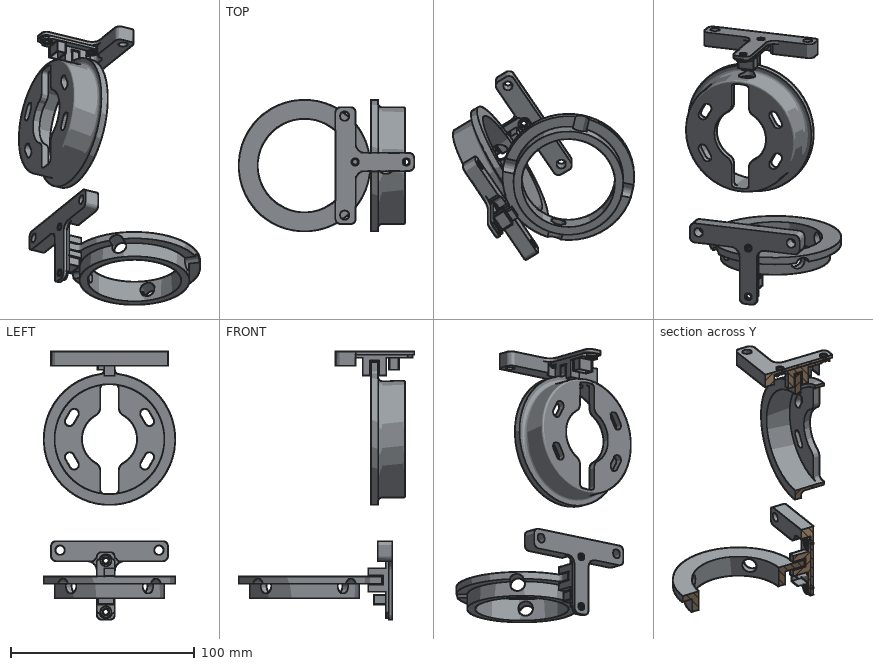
import cadquery as cq

BAR_LENGTH = 64.0
BAR_WIDTH = 11.1
BAR_HEIGHT = 8.0
BAR_HOLE_DIAMETER = 5.0
BAR_HOLE_INSET = 5.0
ARM_END_X = 43.1
ARM_WIDTH = 10.0
ARM_THICKNESS = 2.0
ARM_CENTRE_Y = 2.0
BRACKET_CORNER_RADIUS = 3.0
ARM_ROOT_RADIUS = 5.0
POCKET_MOUTH_CHAMFER = 2.0
POCKET_END_MARGIN = 4.75

SCREW_END_INSET = 4.35
SCREW_SPACING = 28.0
SCREW_XS = (ARM_END_X - SCREW_END_INSET - SCREW_SPACING, ARM_END_X - SCREW_END_INSET)
PILOT_DIAMETER = 3.0
PILOT_TOP_DIAMETER = 4.0
PILOT_TOP_DEPTH = 0.5
CLEARANCE_DIAMETER = 3.8
SCREW_HEAD_DIAMETER = 6.0
SCREW_HEAD_DEPTH = 0.5

CLIP_THICKNESS = 1.6
CLIP_LUG_RADIUS = 3.5
CLIP_SHOULDER = 0.75
CLIP_CORNER_RADIUS = 1.5
CLIP_TOP = -ARM_THICKNESS
CLIP_BOTTOM = CLIP_TOP - CLIP_THICKNESS
FORK_CENTRE_X = 21.35
FORK_LENGTH = 13.0
FORK_WIDTH = 6.0
FORK_BOTTOM = -13.25
SLOT_WIDTH = 5.0
SLOT_TOP = -5.05
STOP_CENTRE_X = 32.05
STOP_LENGTH = 5.6
STOP_WIDTH = 9.5
STOP_WALL = 0.5
STOP_BOTTOM = -10.1

RING_CENTRE_Z = -48.0
FLANGE_DIAMETER = 72.0
FLANGE_THICKNESS = 4.0
FLANGE_FACE_X = FORK_CENTRE_X - FLANGE_THICKNESS / 2
TAB_TOP = -5.75
TAB_ROOT_RADIUS = 2.0

CUP_DIAMETER = 64.0
CUP_BORE = 60.0
CUP_LENGTH = 18.75
CUP_FLOOR = 4.0
CUP_ROOT_RADIUS = 2.0
CUP_END_RADIUS = 1.0
CUP_HOLE_DIAMETER = 9.0
CUP_HOLE_SETBACK = 8.25
FLOOR_HOLE_DIAMETER = 30.0
CHANNEL_WIDTH = 10.0
CHANNEL_MOUTH_RADIUS = 5.0
CHANNEL_END_RADIUS = 2.0
FLOOR_SLOT_RADIUS = 23.75
FLOOR_SLOT_ANGLE = 30.0
FLOOR_SLOT_LENGTH = 10.0
FLOOR_SLOT_WIDTH = 5.0

COLLAR_DIAMETER = 60.0
COLLAR_BORE = 51.0
COLLAR_LENGTH = 12.0
COLLAR_HOLE_DIAMETER = 8.0
COLLAR_HOLE_SETBACK = 5.25
COLLAR_HOLE_ANGLES = (45, 135, 225, 315)

SECOND_TOP_X = 31.1
OVERALL_HEIGHT = 146.75
SECOND_BAR_Z = ARM_END_X - OVERALL_HEIGHT


def box(x_range, y_range, z_range):
    lengths = [high - low for low, high in (x_range, y_range, z_range)]
    corner = (x_range[0], y_range[0], z_range[0])
    return cq.Workplane("XY").box(*lengths, centered=False).translate(corner)


def around(centre, width):
    return (centre - width / 2, centre + width / 2)


def cylinder_down(diameter, centre, top, bottom):
    plane = cq.Workplane("XY", origin=(*centre, bottom))
    return plane.circle(diameter / 2).extrude(top - bottom)


def make_bracket():
    bar = box((0, BAR_WIDTH), around(0, BAR_LENGTH), (-BAR_HEIGHT, 0))
    bar = bar.edges("|Z").fillet(BRACKET_CORNER_RADIUS)

    arm_sides = around(ARM_CENTRE_Y, ARM_WIDTH)
    pocket_end = SCREW_XS[0] - POCKET_END_MARGIN
    pocket = box((pocket_end, ARM_END_X), arm_sides, (-BAR_HEIGHT, -ARM_THICKNESS))
    pocket = pocket.edges("|Z and <X").fillet(BRACKET_CORNER_RADIUS)
    half = ARM_WIDTH / 2
    mouth_half = half + POCKET_MOUTH_CHAMFER
    flare_outline = [
        (0, -mouth_half),
        (0, mouth_half),
        (-POCKET_MOUTH_CHAMFER, half),
        (-POCKET_MOUTH_CHAMFER, -half),
    ]
    flare_plane = cq.Workplane("XY", origin=(BAR_WIDTH, ARM_CENTRE_Y, -BAR_HEIGHT))
    flare = flare_plane.polyline(flare_outline).close().extrude(BAR_HEIGHT - ARM_THICKNESS)
    bar = bar.cut(pocket).cut(flare)

    arm = box((SCREW_XS[0], ARM_END_X), arm_sides, (-ARM_THICKNESS, 0))
    arm = arm.edges("|Z and >X").fillet(BRACKET_CORNER_RADIUS)
    bracket = bar.union(arm)

    for side in (-1, 1):
        edge_y = ARM_CENTRE_Y + side * ARM_WIDTH / 2
        outer_y = edge_y + side * ARM_ROOT_RADIUS
        root = box((BAR_WIDTH, BAR_WIDTH + ARM_ROOT_RADIUS), sorted((edge_y, outer_y)), (-ARM_THICKNESS, 0))
        round_centre = (BAR_WIDTH + ARM_ROOT_RADIUS, outer_y)
        root_round = cylinder_down(2 * ARM_ROOT_RADIUS, round_centre, 0, -ARM_THICKNESS)
        bracket = bracket.union(root.cut(root_round))

    for side in (-1, 1):
        centre = (BAR_HOLE_INSET, side * (BAR_LENGTH / 2 - BAR_HOLE_INSET))
        bracket = bracket.cut(cylinder_down(BAR_HOLE_DIAMETER, centre, 0, -BAR_HEIGHT))
    for x in SCREW_XS:
        centre = (x, ARM_CENTRE_Y)
        bracket = bracket.cut(cylinder_down(PILOT_DIAMETER, centre, 0, -ARM_THICKNESS))
        bracket = bracket.cut(cylinder_down(PILOT_TOP_DIAMETER, centre, 0, -PILOT_TOP_DEPTH))
    return bracket


def make_clip():
    plate_ends = (SCREW_XS[0] - CLIP_SHOULDER, SCREW_XS[1] + CLIP_SHOULDER)
    clip = box(plate_ends, around(ARM_CENTRE_Y, ARM_WIDTH), (CLIP_BOTTOM, CLIP_TOP))
    clip = clip.edges("|Z").fillet(CLIP_CORNER_RADIUS)
    for x in SCREW_XS:
        centre = (x, ARM_CENTRE_Y)
        clip = clip.union(cylinder_down(2 * CLIP_LUG_RADIUS, centre, CLIP_TOP, CLIP_BOTTOM))

    fork = box(around(FORK_CENTRE_X, FORK_LENGTH), around(0, FORK_WIDTH), (FORK_BOTTOM, CLIP_TOP))
    slot = box(around(FORK_CENTRE_X, SLOT_WIDTH), around(0, FORK_WIDTH), (FORK_BOTTOM, SLOT_TOP))
    stop = box(around(STOP_CENTRE_X, STOP_LENGTH), around(ARM_CENTRE_Y, STOP_WIDTH), (STOP_BOTTOM, CLIP_TOP))
    clip = clip.union(fork.cut(slot)).union(stop)

    hollow_length = around(STOP_CENTRE_X, STOP_LENGTH - 2 * STOP_WALL)
    hollow_width = around(ARM_CENTRE_Y, STOP_WIDTH - 2 * STOP_WALL)
    clip = clip.cut(box(hollow_length, hollow_width, (STOP_BOTTOM, CLIP_BOTTOM)))

    for x in SCREW_XS:
        centre = (x, ARM_CENTRE_Y)
        clip = clip.cut(cylinder_down(CLEARANCE_DIAMETER, centre, CLIP_TOP, CLIP_BOTTOM))
        head_top = CLIP_BOTTOM + SCREW_HEAD_DEPTH
        clip = clip.cut(cylinder_down(SCREW_HEAD_DIAMETER, centre, head_top, CLIP_BOTTOM))
    return clip


def ring_plane(setback=0.0):
    """Plane across the ring's axis, its local axes along Y and Z, set back from the flange face."""
    return cq.Workplane("YZ", origin=(FLANGE_FACE_X + setback, 0, RING_CENTRE_Z))


def make_tabbed_flange():
    flange = ring_plane().circle(FLANGE_DIAMETER / 2).extrude(FLANGE_THICKNESS)

    half = FORK_WIDTH / 2
    tab_x = (FLANGE_FACE_X, FLANGE_FACE_X + FLANGE_THICKNESS)
    tab = box(tab_x, (-half, half), (RING_CENTRE_Z, TAB_TOP))

    round_y = half + TAB_ROOT_RADIUS
    round_z = ((FLANGE_DIAMETER / 2 + TAB_ROOT_RADIUS) ** 2 - round_y**2) ** 0.5
    round_centres = [(-round_y, round_z), (round_y, round_z)]
    root = ring_plane().polyline([(0, 0), *round_centres]).close().extrude(FLANGE_THICKNESS)
    rounds = ring_plane().pushPoints(round_centres).circle(TAB_ROOT_RADIUS).extrude(FLANGE_THICKNESS)
    return flange.union(tab).union(root.cut(rounds))


def side_hole(diameter, setback, angle):
    """Radial hole through one side of a ring; the angle is turned from +Z about the ring's axis."""
    centre = (FLANGE_FACE_X + setback, 0)
    hole = cylinder_down(diameter, centre, RING_CENTRE_Z + FLANGE_DIAMETER, RING_CENTRE_Z)
    return hole.rotate((0, 0, RING_CENTRE_Z), (1, 0, RING_CENTRE_Z), angle)


def make_cup_body():
    """Solid of revolution: a cylinder with a hollow round against the flange and a rounded end edge."""
    radius = CUP_DIAMETER / 2
    root_radius = radius + CUP_ROOT_RADIUS
    profile = (
        cq.Workplane("XZ", origin=(FLANGE_FACE_X, 0, RING_CENTRE_Z))
        .lineTo(0, root_radius)
        .lineTo(FLANGE_THICKNESS, root_radius)
        .radiusArc((FLANGE_THICKNESS + CUP_ROOT_RADIUS, radius), -CUP_ROOT_RADIUS)
        .lineTo(CUP_LENGTH - CUP_END_RADIUS, radius)
        .radiusArc((CUP_LENGTH, radius - CUP_END_RADIUS), CUP_END_RADIUS)
        .lineTo(CUP_LENGTH, 0)
        .close()
    )
    return profile.revolve(360, (0, 0, 0), (1, 0, 0))


def make_cup_ring():
    ring = make_tabbed_flange().union(make_cup_body())
    floor_start = CUP_LENGTH - CUP_FLOOR
    ring = ring.cut(ring_plane().circle(CUP_BORE / 2).extrude(floor_start))
    ring = ring.cut(side_hole(CUP_HOLE_DIAMETER, CUP_HOLE_SETBACK, 0))

    inside = ring_plane(floor_start).circle(CUP_BORE / 2).extrude(CUP_FLOOR)
    channel = ring_plane(floor_start).rect(CHANNEL_WIDTH, 2 * CUP_BORE).extrude(CUP_FLOOR)
    channel = channel.intersect(inside).edges("|X").fillet(CHANNEL_END_RADIUS)
    opening = ring_plane(floor_start).circle(FLOOR_HOLE_DIAMETER / 2).extrude(CUP_FLOOR).union(channel)
    mouth_half = FLOOR_HOLE_DIAMETER / 2
    mouth_zone = cq.selectors.BoxSelector(
        (FLANGE_FACE_X, -mouth_half, RING_CENTRE_Z - mouth_half),
        (FLANGE_FACE_X + CUP_LENGTH, mouth_half, RING_CENTRE_Z + mouth_half),
    )
    opening = opening.edges("|X").edges(mouth_zone).fillet(CHANNEL_MOUTH_RADIUS)
    ring = ring.cut(opening)

    for angle in (FLOOR_SLOT_ANGLE, 180 - FLOOR_SLOT_ANGLE, 180 + FLOOR_SLOT_ANGLE, -FLOOR_SLOT_ANGLE):
        slot = (
            ring_plane(floor_start)
            .polarArray(FLOOR_SLOT_RADIUS, angle, 360, 1)
            .slot2D(FLOOR_SLOT_LENGTH, FLOOR_SLOT_WIDTH, 90)
            .extrude(CUP_FLOOR)
        )
        ring = ring.cut(slot)
    return ring


def make_open_ring():
    ring = make_tabbed_flange().union(ring_plane().circle(COLLAR_DIAMETER / 2).extrude(COLLAR_LENGTH))
    ring = ring.cut(ring_plane().circle(COLLAR_BORE / 2).extrude(COLLAR_LENGTH))
    for angle in COLLAR_HOLE_ANGLES:
        ring = ring.cut(side_hole(COLLAR_HOLE_DIAMETER, COLLAR_HOLE_SETBACK, angle))
    return ring


def place_second(body):
    turned = body.rotate((0, 0, 0), (0, 1, 0), 90)
    return turned.translate((SECOND_TOP_X, 0, SECOND_BAR_Z))


bodies = [
    make_bracket(),
    make_clip(),
    make_cup_ring(),
    place_second(make_bracket()),
    place_second(make_clip()),
    place_second(make_open_ring()),
]
result = cq.Compound.makeCompound([body.val() for body in bodies])